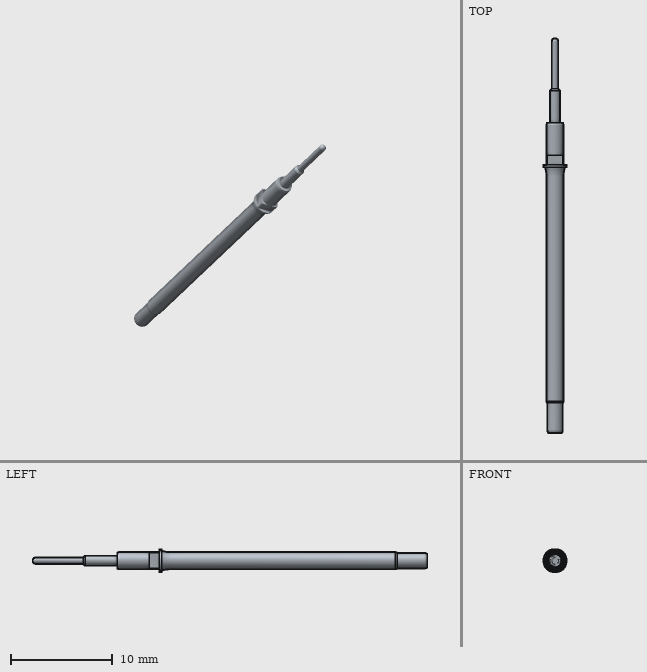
import cadquery as cq
import math

total_length = 38.8
contact_rounding_length = 0.3
contact_length = 3.0
tube_chamfer_length = 0.15
flare_start = 25.3
collar_start = 26.1
flats_start = 26.35
flats_end = 27.3
body_end = 30.5
body_chamfer_length = 0.25
barrel_end = 33.85
barrel_chamfer_length = 0.2

contact_diameter = 1.55
contact_face_diameter = 1.28
tube_diameter = 1.7
tube_end_diameter = 1.6
flare_diameter = 1.98
collar_diameter = 2.3
barrel_diameter = 1.0
pin_diameter = 0.65

flats_width = tube_diameter

contact_radius = contact_diameter / 2
contact_face_radius = contact_face_diameter / 2
tube_radius = tube_diameter / 2
tube_end_radius = tube_end_diameter / 2
flare_radius = flare_diameter / 2
collar_radius = collar_diameter / 2
barrel_radius = barrel_diameter / 2
pin_radius = pin_diameter / 2


def middle_of_tangent_arc(tangent_point, end_point):
    """Middle point of the arc that is parallel to Y at tangent_point and runs to end_point."""
    rise = end_point[0] - tangent_point[0]
    run = end_point[1] - tangent_point[1]
    arc_radius = (rise**2 + run**2) / (2 * rise)
    half_angle = math.asin(run / arc_radius) / 2
    return (
        tangent_point[0] + arc_radius * (1 - math.cos(half_angle)),
        tangent_point[1] + arc_radius * math.sin(half_angle),
    )


def turned_body():
    """Stepped half profile, from the contact face to the pin tip, turned about the Y axis."""
    contact_face_edge = (contact_face_radius, 0)
    rounding_end = (contact_radius, contact_rounding_length)
    flare_foot = (tube_radius, flare_start)
    flare_top = (flare_radius, collar_start)
    tip_offset = pin_radius * math.sin(math.pi / 4)
    tip_middle = (tip_offset, total_length - pin_radius + tip_offset)
    profile = (
        cq.Workplane("XY")
        .lineTo(*contact_face_edge)
        .threePointArc(middle_of_tangent_arc(rounding_end, contact_face_edge), rounding_end)
        .lineTo(contact_radius, contact_length)
        .lineTo(tube_end_radius, contact_length)
        .lineTo(tube_radius, contact_length + tube_chamfer_length)
        .lineTo(*flare_foot)
        .threePointArc(middle_of_tangent_arc(flare_foot, flare_top), flare_top)
        .lineTo(collar_radius, collar_start)
        .lineTo(collar_radius, flats_end)
        .lineTo(tube_radius, flats_end)
        .lineTo(tube_radius, body_end - body_chamfer_length)
        .lineTo(tube_end_radius, body_end)
        .lineTo(barrel_radius, body_end)
        .lineTo(barrel_radius, barrel_end - barrel_chamfer_length)
        .lineTo(pin_radius, barrel_end)
        .lineTo(pin_radius, total_length - pin_radius)
        .threePointArc(tip_middle, (0, total_length))
        .close()
    )
    return profile.revolve(360, (0, 0, 0), (0, 1, 0))


def flats_cutter():
    """Frame with a square opening that leaves four flats on the collar."""
    length = flats_end - flats_start
    outer_width = 2 * collar_diameter
    frame = cq.Workplane("XY").box(outer_width, length, outer_width)
    opening = cq.Workplane("XY").box(flats_width, length, flats_width)
    return frame.cut(opening).translate((0, flats_start + length / 2, 0))


result = turned_body().cut(flats_cutter())